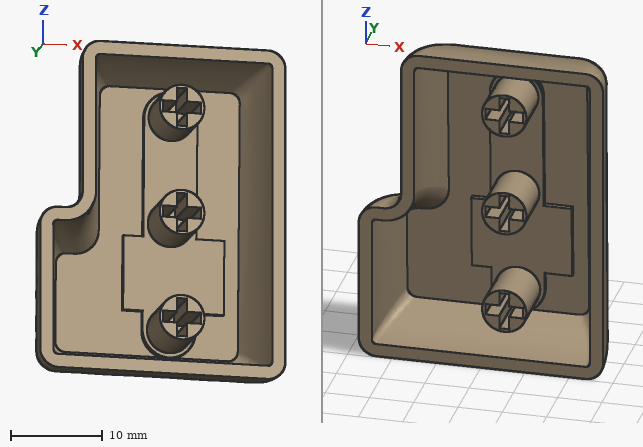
import cadquery as cq
import math


HEIGHT = 37.15
HALF_WIDTH = 11.4
STEP_WIDTH = 4.8
STEP_Z = -0.45
WALL = 1.5

DEPTH = 8.9
BACK_TILT = 2.0
BACK_INSET = 2.7
SIDE_RADIUS = (DEPTH**2 + BACK_INSET**2) / (2 * BACK_INSET)
LOFT_STEPS = 4

EDGE_CORNER = 2.0
OUTER_CORNERS = (EDGE_CORNER, 2.65)
OUTER_NOTCH = (EDGE_CORNER, 2.1)
INNER_CORNERS = (EDGE_CORNER - WALL, 1.1)
INNER_NOTCH = (EDGE_CORNER + WALL, 2.8)

STEM_DIAMETER = 5.0
STEM_SPACING = 11.9
STEM_RECESS = 1.0
CROSS_LENGTH = 4.27
CROSS_UPRIGHT_WIDTH = 1.1
CROSS_BAR_WIDTH = 1.25
PLATE_THICKNESS = 0.6
STRIP_WIDTH = 5.98
PAD_LEFT = -5.2
PAD_RIGHT = 6.13
PAD_TOP = -1.45
PAD_BOTTOM = -9.77

FLOOR_DEPTH = DEPTH - WALL
STEM_LEVELS = [row * STEM_SPACING for row in (-1, 0, 1)]


def tilted_plane(depth, tilt, lift=0.0):
    """Plane across the cap at a given depth, facing the opening, leaning by tilt degrees."""
    lean = math.radians(tilt)
    return cq.Plane(
        origin=(0, depth, lift),
        xDir=(1, 0, 0),
        normal=(0, -math.cos(lean), -math.sin(lean)),
    )


def rounded_outline(plane, inset, corner_radius, notch_radius):
    """L-shaped wire, inset from the opening's outline; the re-entrant corner has its own radius."""
    right = HALF_WIDTH - inset
    upper_left = -HALF_WIDTH + inset
    lower_left = upper_left - STEP_WIDTH
    top = HEIGHT / 2 - inset
    bottom = -top
    shoulder = STEP_Z - inset
    c = corner_radius
    n = notch_radius
    c_mid = c * (1 - math.sqrt(0.5))
    n_mid = n * (1 - math.sqrt(0.5))
    outline = (
        cq.Workplane(plane)
        .moveTo(lower_left + c, bottom)
        .lineTo(right - c, bottom)
        .threePointArc((right - c_mid, bottom + c_mid), (right, bottom + c))
        .lineTo(right, top - c)
        .threePointArc((right - c_mid, top - c_mid), (right - c, top))
        .lineTo(upper_left + c, top)
        .threePointArc((upper_left + c_mid, top - c_mid), (upper_left, top - c))
        .lineTo(upper_left, shoulder + n)
        .threePointArc((upper_left - n_mid, shoulder + n_mid), (upper_left - n, shoulder))
        .lineTo(lower_left + c, shoulder)
        .threePointArc((lower_left + c_mid, shoulder - c_mid), (lower_left, shoulder - c))
        .lineTo(lower_left, bottom + c)
        .threePointArc((lower_left + c_mid, bottom + c_mid), (lower_left + c, bottom))
        .close()
    )
    return outline.val()


def between(ends, fraction):
    return ends[0] + (ends[1] - ends[0]) * fraction


def cap_form(offset, corners, notch):
    """Solid inside the surface lying 'offset' within the cap's outer surface."""
    full_depth = DEPTH - offset
    radius = SIDE_RADIUS - offset
    sections = []
    for step in range(LOFT_STEPS + 1):
        fraction = step / LOFT_STEPS
        depth = full_depth * fraction
        tilt = BACK_TILT * fraction
        inset = offset + radius - math.sqrt(radius**2 - depth**2)
        plane = tilted_plane(depth, tilt, lift=depth * math.sin(math.radians(tilt)))
        sections.append(
            rounded_outline(plane, inset, between(corners, fraction), between(notch, fraction))
        )
    return cq.Workplane(cq.Solid.makeLoft(sections))


def depth_at(level, axis_depth):
    """Depth, at height 'level', of a back-parallel plane that crosses the axis at axis_depth."""
    return axis_depth - level * math.tan(math.radians(BACK_TILT))


def make_plate():
    """Round-ended strip under the stems with a wider pad, seated on the inner back face."""
    plane = tilted_plane(FLOOR_DEPTH, BACK_TILT)
    strip_length = (len(STEM_LEVELS) - 1) * STEM_SPACING + STRIP_WIDTH
    strip = cq.Workplane(plane).slot2D(strip_length, STRIP_WIDTH, 90).extrude(PLATE_THICKNESS)
    pad = (
        cq.Workplane(plane)
        .center((PAD_LEFT + PAD_RIGHT) / 2, (PAD_TOP + PAD_BOTTOM) / 2)
        .rect(PAD_RIGHT - PAD_LEFT, PAD_TOP - PAD_BOTTOM)
        .extrude(PLATE_THICKNESS)
    )
    return strip.union(pad)


def stem_sketch(level):
    """Workplane on a stem's free end, facing the opening."""
    return cq.Workplane(tilted_plane(STEM_RECESS, 0, lift=level))


def make_stem(level):
    """Round stem whose root ends halfway into the plate."""
    root = depth_at(level, FLOOR_DEPTH - PLATE_THICKNESS / 2)
    return stem_sketch(level).circle(STEM_DIAMETER / 2).extrude(STEM_RECESS - root)


def make_cross_socket(level):
    """Cross-shaped socket running down a stem to the plate's face."""
    face = depth_at(level, FLOOR_DEPTH - PLATE_THICKNESS)
    upright = stem_sketch(level).rect(CROSS_UPRIGHT_WIDTH, CROSS_LENGTH).extrude(STEM_RECESS - face)
    bar = stem_sketch(level).rect(CROSS_LENGTH, CROSS_BAR_WIDTH).extrude(STEM_RECESS - face)
    return upright.union(bar)


def make_insert():
    insert = make_plate()
    for level in STEM_LEVELS:
        insert = insert.union(make_stem(level)).cut(make_cross_socket(level))
    return insert


def make_cap(insert):
    """Hollow cap; the end of the insert's strip is let into the curve of the bottom wall."""
    outer = cap_form(0, OUTER_CORNERS, OUTER_NOTCH)
    cavity = cap_form(WALL, INNER_CORNERS, INNER_NOTCH)
    return outer.cut(cavity).cut(insert)


stem_insert = make_insert()
cap = make_cap(stem_insert)

result = cq.Compound.makeCompound([cap.solids().val(), stem_insert.solids().val()])